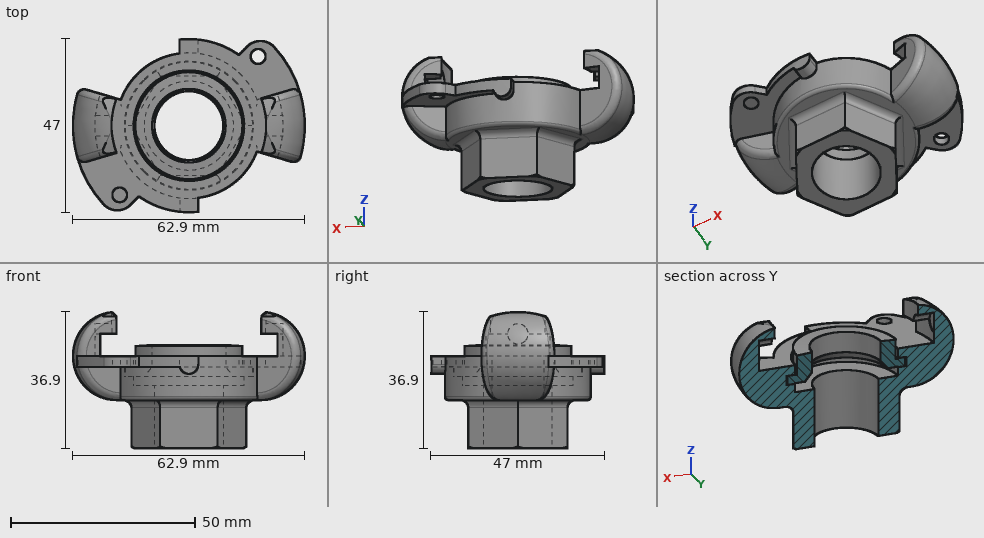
import cadquery as cq
import math

hex_flats = 27.0
hex_diameter = hex_flats / math.cos(math.radians(30))
hex_bottom_diameter = 29.6
hex_chamfer_angle = 30.0
thread_bore_diameter = 18.63

flange_radius = 19.77
flange_bottom = 13.0
face_height = 25.0
flange_edge_fillet = 1.0
neck_fillet = 2.0

plate_thickness = 3.0
plate_bottom = face_height - plate_thickness
tooth_radius = 23.5
rib_radius = 2.55
rib_height = 22.7
ear_fillet = 5.0
ear_edge_offset = 4.0
ear_angle = 45.0
ear_hole_diameter = 4.0
ear_hole_distance = 26.53
blind_hole_depth = 2.8

claw_tube_radius = face_height - flange_bottom
claw_outer_radius = 31.455
claw_tube_center = claw_outer_radius - claw_tube_radius
claw_inner_start = 18.0
claw_side_angle = 16.5
claw_side_offset = 1.58
claw_edge_fillet = 2.0
claw_tip_radius = 20.95
claw_pocket_radius = 25.5
claw_pocket_top = 31.0
detent_radius = 2.75
crown_radius = 23.5
crown_height = 36.94
plate_end_angle = 15.4

seat_height = 17.0
seal_bottom = 19.5
lip_top = 22.0
groove_diameter = 35.0
recess_diameter = 30.0
seal_flange_diameter = 34.5
seal_neck_diameter = 29.0
seal_bore_diameter = 20.0
seal_lip_bore_diameter = 24.2
seal_top = 28.0
seal_rim_height = 27.7

clear = 50.0


def disc(radius, bottom, top):
    """Cylinder about Z between two heights."""
    return cq.Workplane("XY").workplane(offset=bottom).circle(radius).extrude(top - bottom)


def on_circle(radius, degrees):
    """Point on a circle about the origin."""
    angle = math.radians(degrees)
    return (radius * math.cos(angle), radius * math.sin(angle))


def both_halves(shape):
    """The shape and its copy turned half a turn about Z."""
    return [shape.rotate((0, 0, 0), (0, 0, 1), turn) for turn in (0, 180)]


def make_core():
    """Hexagon blended into the round flange."""
    chamfer_cone_height = clear * math.tan(math.radians(hex_chamfer_angle))
    bottom_radius = hex_bottom_diameter / 2
    chamfer_envelope = (
        cq.Workplane("XZ")
        .polyline([
            (0, 0),
            (bottom_radius, 0),
            (bottom_radius + clear, chamfer_cone_height),
            (0, chamfer_cone_height),
        ])
        .close()
        .revolve(360, (0, 0, 0), (0, 1, 0))
    )
    hexagon = cq.Workplane("XY").polygon(6, hex_diameter).extrude(flange_bottom)
    hexagon = hexagon.intersect(chamfer_envelope)
    flange = disc(flange_radius, flange_bottom, face_height).faces("<Z").edges().fillet(flange_edge_fillet)
    core = hexagon.union(flange)
    slab = neck_fillet / 2
    neck_edges = cq.selectors.BoxSelector(
        (-hex_diameter / 2, -hex_diameter / 2, flange_bottom - slab),
        (hex_diameter / 2, hex_diameter / 2, flange_bottom + slab),
    )
    return core.edges("#Z").edges("%LINE").edges(neck_edges).fillet(neck_fillet)


def make_plate_half():
    """Half of the locking plate: a tooth with a rounded rib, then an ear ending at the claw."""
    axis_x, axis_y = on_circle(1, ear_angle)

    def from_ear_axis(along, aside):
        return (along * axis_x - aside * axis_y, along * axis_y + aside * axis_x)

    tooth_end = (0, tooth_radius)
    ear_foot = from_ear_axis(math.sqrt(tooth_radius**2 - ear_edge_offset**2), ear_edge_offset)
    ear_foot_angle = math.degrees(math.atan2(ear_foot[1], ear_foot[0]))
    tooth_middle = on_circle(tooth_radius, (90 + ear_foot_angle) / 2)
    center_distance = claw_outer_radius - ear_fillet
    center_aside = ear_edge_offset - ear_fillet
    center_along = math.sqrt(center_distance**2 - center_aside**2)
    ear_arc_start = from_ear_axis(center_along, ear_edge_offset)
    center = from_ear_axis(center_along, center_aside)
    rim_angle = math.degrees(math.atan2(center[1], center[0]))
    middle_offset = on_circle(ear_fillet, (rim_angle + ear_angle + 90) / 2)
    ear_arc_middle = (center[0] + middle_offset[0], center[1] + middle_offset[1])
    plate = (
        cq.Workplane("XY")
        .workplane(offset=plate_bottom)
        .moveTo(*tooth_end)
        .threePointArc(tooth_middle, ear_foot)
        .lineTo(*ear_arc_start)
        .threePointArc(ear_arc_middle, on_circle(claw_outer_radius, rim_angle))
        .threePointArc(
            on_circle(claw_outer_radius, (rim_angle + plate_end_angle) / 2),
            on_circle(claw_outer_radius, plate_end_angle),
        )
        .lineTo(0, 0)
        .close()
        .extrude(plate_thickness)
    )
    rib = (
        cq.Workplane("XZ")
        .moveTo(-rib_radius, face_height)
        .lineTo(-rib_radius, rib_height)
        .threePointArc((0, rib_height - rib_radius), (rib_radius, rib_height))
        .lineTo(rib_radius, face_height)
        .close()
        .extrude(-tooth_radius)
        .intersect(disc(tooth_radius, 0, face_height))
    )
    return plate.union(rib)


def make_claw():
    """Claw on the +X side before its tip, pocket and crown are cut."""
    claw_top = face_height + claw_tube_radius
    tube = (
        cq.Workplane("XZ")
        .moveTo(claw_inner_start, flange_bottom)
        .lineTo(claw_tube_center, flange_bottom)
        .threePointArc((claw_outer_radius, face_height), (claw_tube_center, claw_top))
        .lineTo(claw_inner_start, claw_top)
        .close()
        .revolve(360, (0, 0, 0), (0, 1, 0))
    )
    slope = math.tan(math.radians(claw_side_angle))
    half_width = claw_side_offset + slope * clear
    wedge = (
        cq.Workplane("XY")
        .polyline([
            (0, -claw_side_offset),
            (clear, -half_width),
            (clear, half_width),
            (0, claw_side_offset),
        ])
        .close()
        .extrude(clear)
    )
    return tube.intersect(wedge).edges("%BSPLINE").fillet(claw_edge_fillet)


def make_claw_cutter():
    """Everything removed from the +X claw above the sealing face."""
    tip_gap = disc(claw_tip_radius, face_height, clear)
    pocket = disc(claw_pocket_radius, face_height, claw_pocket_top)
    detent = (
        cq.Workplane("YZ")
        .center(0, claw_pocket_top)
        .circle(detent_radius)
        .extrude(claw_pocket_radius)
    )
    below_crown = (
        cq.Workplane("YZ")
        .center(0, crown_height - crown_radius)
        .circle(crown_radius)
        .extrude(clear)
    )
    above_crown = (
        cq.Workplane("XY")
        .workplane(offset=claw_pocket_top)
        .rect(2 * clear, 2 * clear)
        .extrude(clear)
        .cut(below_crown)
    )
    return tip_gap.union(pocket).union(detent).union(above_crown)


def make_ear_hole(depth):
    """Cutter for the hole in the ear of the +X +Y half."""
    hole = disc(ear_hole_diameter / 2, face_height - depth, face_height)
    return hole.translate((*on_circle(ear_hole_distance, ear_angle), 0))


def make_housing():
    """Coupling half: hexagon, flange, locking plate and two claws."""
    housing = make_core()
    claw = make_claw().cut(make_claw_cutter())
    for feature in (make_plate_half(), claw):
        for copy in both_halves(feature):
            housing = housing.union(copy)
    through_hole = make_ear_hole(plate_thickness)
    blind_hole = make_ear_hole(blind_hole_depth).rotate((0, 0, 0), (0, 0, 1), 180)
    housing = housing.cut(through_hole).cut(blind_hole)
    housing = housing.cut(disc(thread_bore_diameter / 2, 0, seat_height))
    housing = housing.cut(disc(recess_diameter / 2, seat_height, face_height))
    return housing.cut(disc(groove_diameter / 2, seal_bottom, lip_top))


def make_seal():
    """Seal ring: flared lip and flange below, neck with a slightly conical top above."""
    return (
        cq.Workplane("XZ")
        .polyline([
            (seal_lip_bore_diameter / 2, seal_bottom),
            (seal_flange_diameter / 2, seal_bottom),
            (seal_flange_diameter / 2, lip_top),
            (seal_neck_diameter / 2, lip_top),
            (seal_neck_diameter / 2, seal_rim_height),
            (seal_bore_diameter / 2, seal_top),
            (seal_bore_diameter / 2, lip_top),
        ])
        .close()
        .revolve(360, (0, 0, 0), (0, 1, 0))
    )


housing = make_housing()
seal = make_seal()
result = cq.Compound.makeCompound([housing.val(), seal.val()])